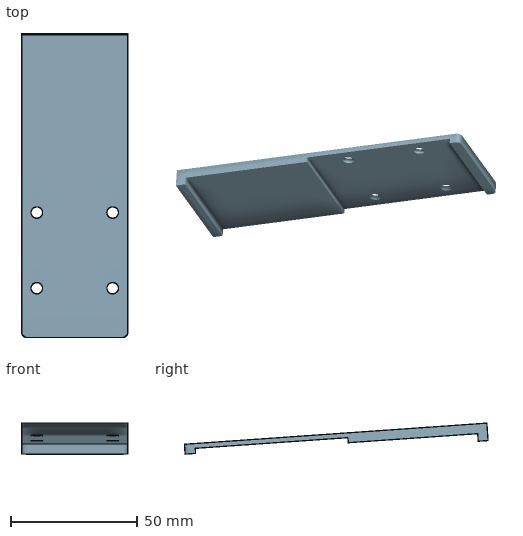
import cadquery as cq

WIDTH = 42.0
LENGTH = 120.0
TILT_ANGLE = 4.0

THIN_THICKNESS = 2.0
THICK_THICKNESS = 4.0
THICK_START = 64.7

FRONT_LIP_LENGTH = 4.25
FRONT_LIP_HEIGHT = 4.0
REAR_LIP_LENGTH = 4.0
REAR_LIP_HEIGHT = 7.0

FRONT_CORNER_RADIUS = 2.0

HOLE_DIAMETER = 4.5
HOLE_SPACING = 30.0
FIRST_HOLE_ROW = 19.5


def make_plate():
    """Extrude the stepped side profile symmetrically across the width."""
    rear_lip_start = LENGTH - REAR_LIP_LENGTH
    profile = [
        (0, 0),
        (LENGTH, 0),
        (LENGTH, -REAR_LIP_HEIGHT),
        (rear_lip_start, -REAR_LIP_HEIGHT),
        (rear_lip_start, -THICK_THICKNESS),
        (THICK_START, -THICK_THICKNESS),
        (THICK_START, -THIN_THICKNESS),
        (FRONT_LIP_LENGTH, -THIN_THICKNESS),
        (FRONT_LIP_LENGTH, -FRONT_LIP_HEIGHT),
        (0, -FRONT_LIP_HEIGHT),
    ]
    return cq.Workplane("YZ").polyline(profile).close().extrude(WIDTH / 2, both=True)


def round_front_corners(plate):
    """Round the two upright edges of the front face."""
    return plate.faces("<Y").edges("|Z").fillet(FRONT_CORNER_RADIUS)


def cut_holes(plate):
    """Drill the square hole pattern through the thin stretch."""
    pattern_center = FIRST_HOLE_ROW + HOLE_SPACING / 2
    holes = (
        cq.Workplane("XY")
        .center(0, pattern_center)
        .rect(HOLE_SPACING, HOLE_SPACING, forConstruction=True)
        .vertices()
        .circle(HOLE_DIAMETER / 2)
        .extrude(-THICK_THICKNESS)
    )
    return plate.cut(holes)


def tilt(plate):
    """Raise the rear end by turning the plate about its front top edge."""
    return plate.rotate((0, 0, 0), (1, 0, 0), TILT_ANGLE)


result = tilt(cut_holes(round_front_corners(make_plate())))